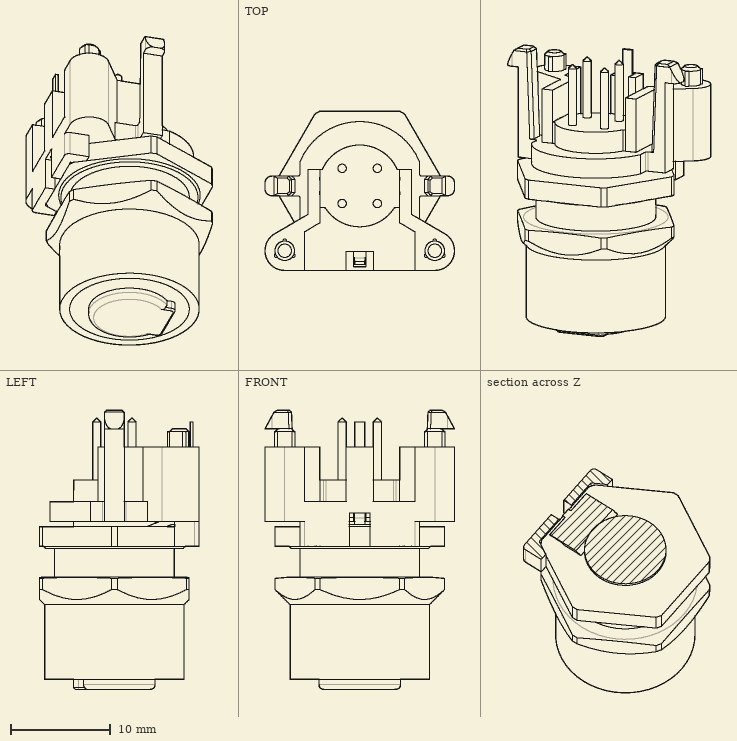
import cadquery as cq
import math


sleeve_bottom = 1.0
nut_bottom = 8.5
nut_top = 11.25
lip_bottom = 14.1
flange_bottom = 14.35
flange_top = 16.32
holder_bottom = 16.83
floor_top = 18.82
insert_top = 21.0
holder_top = 24.3
peg_top = 26.15
hook_bottom = 26.12
contact_top = 26.82
overall_height = 28.0

hex_width = 15.0
hex_corner_diameter = 17.0

sleeve_diameter = 14.0
nut_face_diameter = 14.5
nut_face_drop = 0.1

neck_diameter = 12.0
lip_diameter = 14.2

insert_diameter = 8.2
insert_edge_radius = 0.5
key_half_width = 2.7
key_corner_radius = 0.53
key_chamfer = 0.2
shoulder_half_width = 4.0
shoulder_front_y = -2.18
shoulder_root_radius = 0.25
pin_diameter = 0.85
pin_offset = 1.75
pin_tip_height = 0.4

overall_width = 19.0
front_y = -8.48
disc_diameter = 12.9
disc_width = 11.98
wall_end_y = 1.65
wall_outer_x = 5.18
wall_inner_x = shoulder_half_width
wall_bend_y = -3.7
pocket_x = 5.52
pocket_corner_y = -4.6
ear_radius = 2.0
ear_slope = math.radians(30)
ear_x = overall_width / 2 - ear_radius
ear_y = front_y + ear_radius
tongue_half_width = disc_width / 2
tongue_back_y = -6.05
tongue_edge_radius = 0.45
post_width = 2.75
post_back_y = -6.55

peg_radius = 0.98
peg_chamfer = 0.3
peg_rib_radius = 0.2

clip_width = 2.0
clip_outer_x = 8.1
clip_inner_top_x = 6.83
clip_inner_foot_x = 6.4
hook_tip_x = overall_width / 2
hook_top_x = 8.48
hook_tip_radius = 0.7
clip_top_chamfer = 0.22
clip_edge_chamfer = 0.35
clip_foot_radius = 0.2

contact_thickness = 0.3
contact_width = 1.0
contact_front_y = -7.9
contact_bend_radius = 0.67
spring_width = 6.15
spring_front_y = -7.17
spring_upper_bend_y = -4.48
spring_lower_bend_y = -5.75
spring_heel_y = -5.25
spring_tip_y = -3.25
slot_width = 1.2
slot_front_y = -8.1
window_width = 2.07
window_top = 17.67
window_back_y = -hex_width / 2
window_chamfer = 0.4


def cylinder(diameter, bottom, top):
    return cq.Workplane("XY").workplane(offset=bottom).circle(diameter / 2).extrude(top - bottom)


def block(x_min, x_max, y_min, y_max, z_min, z_max):
    size = (x_max - x_min, y_max - y_min, z_max - z_min)
    return cq.Workplane("XY").box(*size, centered=False).translate((x_min, y_min, z_min))


def hexagon(bottom, top):
    """Hexagonal prism with corners on the X axis."""
    across_corners = hex_width / math.cos(math.radians(30))
    return cq.Workplane("XY").workplane(offset=bottom).polygon(6, across_corners).extrude(top - bottom)


def side_profile(points, width):
    """Profile of (y, z) points extruded symmetrically about the YZ plane."""
    return cq.Workplane("YZ").polyline(points).close().extrude(width / 2, both=True)


def fillet_upright_edge(body, x, y, radius):
    """Fillet the vertical edge that stands at (x, y)."""
    column = cq.selectors.BoxSelector(
        (x - radius, y - radius, 0), (x + radius, y + radius, overall_height)
    )
    return body.edges("|Z").edges(column).fillet(radius)


def make_nut():
    """Hexagonal nut with a 45 degree cone down to its round sleeve."""
    sleeve_radius = sleeve_diameter / 2
    corner_radius = hex_corner_diameter / 2
    cone_height = corner_radius - sleeve_radius
    envelope = (
        cq.Workplane("XZ")
        .moveTo(0, nut_bottom)
        .lineTo(sleeve_radius, nut_bottom)
        .lineTo(corner_radius, nut_bottom + cone_height)
        .lineTo(corner_radius, nut_top - nut_face_drop)
        .lineTo(nut_face_diameter / 2, nut_top)
        .lineTo(0, nut_top)
        .close()
        .revolve(360, (0, 0, 0), (0, 1, 0))
    )
    body = hexagon(nut_bottom, nut_top).intersect(envelope)
    body = body.union(cylinder(sleeve_diameter, sleeve_bottom, nut_bottom))
    return body.cut(cylinder(neck_diameter, sleeve_bottom, nut_top))


def make_housing():
    """Hexagonal flange with a bevelled lip and a neck that fills the nut."""
    flange = hexagon(flange_bottom, flange_top)
    flange = flange.intersect(cylinder(hex_corner_diameter, flange_bottom, flange_top))
    lip = (
        cq.Workplane("XY")
        .workplane(offset=flange_bottom)
        .circle(lip_diameter / 2)
        .extrude(lip_bottom - flange_bottom, taper=45)
    )
    neck = cylinder(neck_diameter, sleeve_bottom, flange_bottom)
    bore = cylinder(insert_diameter, sleeve_bottom, flange_top)
    return flange.union(lip).union(neck).cut(bore)


def make_pin(x, y):
    """Contact pin with a conical tip, standing on the insert."""
    tip = cq.Solid.makeCone(pin_diameter / 2, 0, pin_tip_height, pnt=cq.Vector(0, 0, contact_top))
    return cylinder(pin_diameter, insert_top, contact_top).union(cq.Workplane(tip)).translate((x, y, 0))


def make_insert():
    """Round contact insert with a key, flat-sided shoulders and four pins."""
    radius = insert_diameter / 2
    lower_part = cylinder(insert_diameter, 0, floor_top)
    body = lower_part.faces("<Z").edges().fillet(insert_edge_radius)
    key = block(-key_half_width, key_half_width, 0, radius, 0, sleeve_bottom)
    key = key.edges("|Z and >Y").fillet(key_corner_radius)
    body = body.union(key.faces("<Z").edges(">Y").chamfer(key_chamfer))

    half_width = shoulder_half_width
    upper_part = cylinder(insert_diameter, floor_top, insert_top).intersect(
        block(-half_width, half_width, -radius, radius, floor_top, insert_top)
    )
    shoulders = block(-half_width, half_width, shoulder_front_y, wall_end_y, floor_top, insert_top)
    upper_part = upper_part.union(shoulders)
    root_x = math.sqrt(radius**2 - shoulder_front_y**2)
    for x in (-root_x, root_x):
        upper_part = fillet_upright_edge(upper_part, x, shoulder_front_y, shoulder_root_radius)
    body = body.union(upper_part)

    for x in (-pin_offset, pin_offset):
        for y in (-pin_offset, pin_offset):
            body = body.union(make_pin(x, y))
    return body


def make_ears():
    """Raised walls that widen into two round ears, around an open pocket."""
    tangent_x = ear_x + ear_radius * math.sin(ear_slope)
    tangent_y = ear_y + ear_radius * math.cos(ear_slope)
    wall_foot_y = tangent_y + (tangent_x - wall_outer_x) * math.tan(ear_slope)
    outline = (
        cq.Workplane("XY")
        .workplane(offset=holder_bottom)
        .moveTo(0, front_y)
        .lineTo(ear_x, front_y)
        .threePointArc((ear_x + ear_radius, ear_y), (tangent_x, tangent_y))
        .lineTo(wall_outer_x, wall_foot_y)
        .lineTo(wall_outer_x, wall_end_y)
        .lineTo(0, wall_end_y)
        .close()
        .extrude(holder_top - holder_bottom)
    )
    pocket = (
        cq.Workplane("XY")
        .workplane(offset=floor_top)
        .moveTo(0, front_y)
        .lineTo(pocket_x, front_y)
        .lineTo(pocket_x, pocket_corner_y)
        .lineTo(wall_inner_x, wall_bend_y)
        .lineTo(wall_inner_x, wall_end_y)
        .lineTo(0, wall_end_y)
        .close()
        .extrude(holder_top - floor_top)
    )
    half = outline.cut(pocket)
    return half.union(half.mirror("YZ"))


def make_tongue():
    """Front tongue that hooks round three sides of the housing flange."""
    tongue = block(
        -tongue_half_width, tongue_half_width, front_y, tongue_back_y, flange_bottom, holder_bottom
    )
    tongue = tongue.edges("|Z and <Y").fillet(tongue_edge_radius)
    return tongue.cut(hexagon(flange_bottom, holder_bottom))


def make_peg():
    """Board peg with three crush ribs, on the +X ear."""
    peg = cylinder(2 * peg_radius, holder_top, peg_top).faces(">Z").chamfer(peg_chamfer)
    for angle in (90, 210, 330):
        rib = cylinder(2 * peg_rib_radius, holder_top, peg_top - peg_chamfer)
        peg = peg.union(rib.translate((peg_radius, 0, 0)).rotate((0, 0, 0), (0, 0, 1), angle))
    return peg.translate((ear_x, ear_y, 0))


def make_clip():
    """Snap clip on the +X side of the disc: a tapered arm with an outward hook."""
    half_width = clip_width / 2
    clip = (
        cq.Workplane("XZ")
        .polyline(
            [
                (clip_inner_foot_x, holder_bottom),
                (clip_outer_x, holder_bottom),
                (clip_outer_x, hook_bottom),
                (hook_tip_x, hook_bottom),
                (hook_top_x, overall_height),
                (clip_inner_top_x, overall_height),
            ]
        )
        .close()
        .extrude(half_width, both=True)
    )
    clip = clip.faces("<X").edges("not |Y").chamfer(clip_edge_chamfer)
    clip = clip.faces(">Z").chamfer(clip_top_chamfer)
    plan = block(0, hook_tip_x, -half_width, half_width, holder_bottom, overall_height)
    return clip.intersect(plan.edges("|Z and >X").fillet(hook_tip_radius))


def make_disc():
    """Flat-sided disc with a foot on each side that carries a clip."""
    half_width = disc_width / 2
    half_foot = clip_width / 2
    radius = disc_diameter / 2
    disc = cylinder(disc_diameter, holder_bottom, floor_top).union(
        block(-half_width, half_width, tongue_back_y, 0, holder_bottom, floor_top)
    )
    disc = disc.intersect(block(-half_width, half_width, -radius, radius, holder_bottom, floor_top))
    disc = disc.union(
        block(-clip_outer_x, clip_outer_x, -half_foot, half_foot, holder_bottom, floor_top)
    )
    for x in (-half_width, half_width):
        for y in (-half_foot, half_foot):
            disc = fillet_upright_edge(disc, x, y, clip_foot_radius)
    return disc


def make_holder():
    """Plastic holder: disc, walls with ears, tongue, post, pegs and clips."""
    post = block(-post_width / 2, post_width / 2, front_y, post_back_y, floor_top, holder_top)
    body = make_disc().union(make_ears()).union(make_tongue()).union(post)
    for feature in (make_peg(), make_clip()):
        body = body.union(feature).union(feature.mirror("YZ"))
    body = body.cut(cylinder(insert_diameter, holder_bottom, insert_top))
    body = body.cut(
        block(-slot_width / 2, slot_width / 2, slot_front_y, post_back_y, holder_bottom, holder_top)
    )
    window = side_profile(
        [
            (front_y, flange_bottom),
            (front_y, window_top),
            (window_back_y, window_top),
            (window_back_y, holder_bottom + window_chamfer),
            (window_back_y + window_chamfer, holder_bottom),
            (window_back_y + window_chamfer, flange_bottom),
        ],
        window_width,
    )
    return body.cut(window)


def make_shield_contact():
    """Bent metal contact: upright blade and a forked spring that rests on the flange."""
    back_y = contact_front_y + contact_thickness
    strip_bottom = holder_bottom - contact_thickness
    bend_y = contact_front_y + contact_bend_radius
    bend_z = strip_bottom + contact_bend_radius
    inner_radius = contact_bend_radius - contact_thickness
    blade = (
        cq.Workplane("YZ")
        .moveTo(contact_front_y, contact_top)
        .lineTo(contact_front_y, bend_z)
        .radiusArc((bend_y, strip_bottom), -contact_bend_radius)
        .lineTo(spring_front_y, strip_bottom)
        .lineTo(spring_front_y, holder_bottom)
        .lineTo(bend_y, holder_bottom)
        .radiusArc((back_y, bend_z), inner_radius)
        .lineTo(back_y, contact_top)
        .close()
        .extrude(contact_width / 2, both=True)
    )
    spring = side_profile(
        [
            (spring_front_y, strip_bottom),
            (spring_lower_bend_y, strip_bottom),
            (spring_heel_y, flange_top),
            (spring_tip_y, flange_top),
            (spring_upper_bend_y, holder_bottom),
            (spring_front_y, holder_bottom),
        ],
        spring_width,
    )
    spring = spring.cut(cylinder(insert_diameter, flange_top, holder_bottom))
    return blade.union(spring)


nut = make_nut()
housing = make_housing()
insert = make_insert()
holder = make_holder()
shield_contact = make_shield_contact()

result = cq.Compound.makeCompound(
    [nut.val(), housing.val(), insert.val(), holder.val(), shield_contact.val()]
)